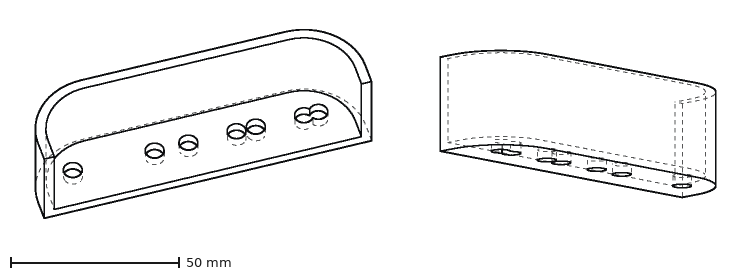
import cadquery as cq

depth = 25.4
length = 101.6
height = 28.5

wall = 3.1
floor_thickness = wall
corner_radius = 19.1

hole_diameter = 5.6
hole_row_x = depth / 2
outer_hole_y = length * 3 / 8
inner_hole_y = length / 8
extra_hole_ys = [33.6, 18.7, -2.2]
hole_ys = [outer_hole_y, inner_hole_y, -inner_hole_y, -outer_hole_y] + extra_hole_ys


def rounded_block(inset, bottom):
    """Block from bottom to the top, inset on three sides, with its two -X corners rounded."""
    return (
        cq.Workplane("XY", origin=(inset, 0, bottom))
        .box(depth - inset, length - 2 * inset, height - bottom, centered=(False, True, False))
        .edges("|Z and <X")
        .fillet(corner_radius - inset)
    )


tray = rounded_block(0, 0).cut(rounded_block(wall, floor_thickness))

holes = (
    cq.Workplane("XY")
    .pushPoints([(hole_row_x, y) for y in hole_ys])
    .circle(hole_diameter / 2)
    .extrude(floor_thickness)
)

result = tray.cut(holes)